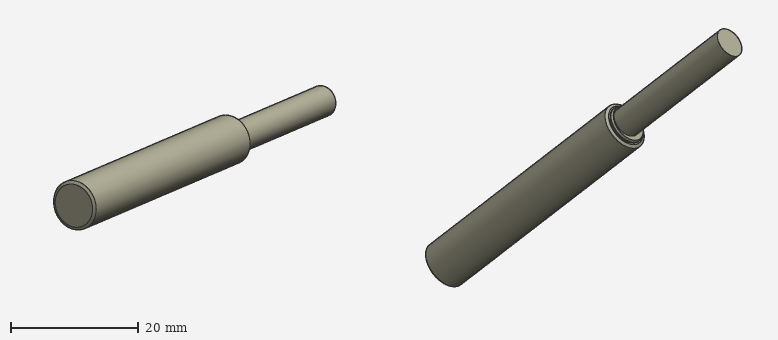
import cadquery as cq
import math

total_length = 71.2
body_diameter = 8.0
collar_diameter = 6.5
stem_diameter = 5.0

body_length = 45.0
collar_length = 0.6
stem_length = total_length - body_length - collar_length

stem_offset_x = 0.4

body_bevel_angle = math.radians(30.0)
body_bevel_radial = 0.5
body_bevel_axial = body_bevel_radial * math.tan(body_bevel_angle)

collar_bevel_radial = 0.2
collar_bevel_axial = 0.35


def revolve_about_y(half_profile):
    """Solid of revolution about the Y axis from (radius, y) points."""
    outline = cq.Workplane("XY").polyline(half_profile).close()
    return outline.revolve(360, (0, 0, 0), (0, 1, 0))


def body():
    """Main barrel with both end edges bevelled."""
    radius = body_diameter / 2
    face_radius = radius - body_bevel_radial
    return revolve_about_y([
        (0, 0),
        (face_radius, 0),
        (radius, body_bevel_axial),
        (radius, body_length - body_bevel_axial),
        (face_radius, body_length),
        (0, body_length),
    ])


def collar():
    """Short shoulder between barrel and stem, bevelled on its outer end."""
    radius = collar_diameter / 2
    collar_end = body_length + collar_length
    return revolve_about_y([
        (0, body_length),
        (radius, body_length),
        (radius, collar_end - collar_bevel_axial),
        (radius - collar_bevel_radial, collar_end),
        (0, collar_end),
    ])


def stem():
    """Thin plain rod leaving the collar, slightly off the body axis."""
    base = cq.Workplane("XZ", origin=(stem_offset_x, body_length + collar_length, 0))
    return base.circle(stem_diameter / 2).extrude(-stem_length)


result = body().union(collar()).union(stem())